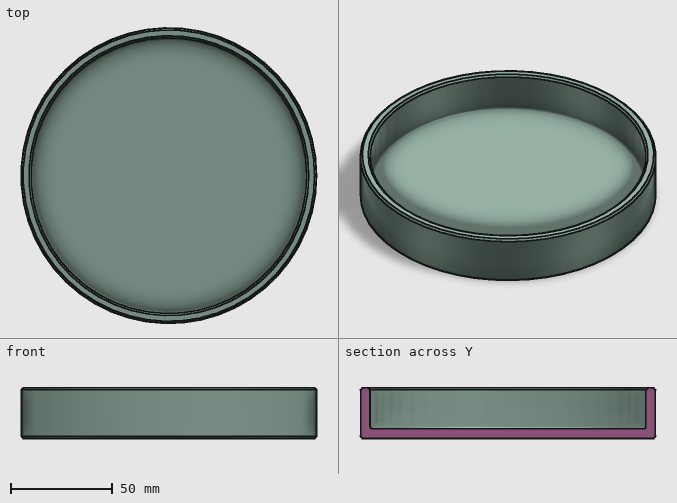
import cadquery as cq

outer_diameter = 145.0
height = 25.0
edge_chamfer = 1.0

cavity_diameter = 135.3
floor_thickness = 5.0
rim_chamfer = 1.0
floor_fillet = 1.0

body = cq.Workplane("XY").circle(outer_diameter / 2).extrude(height)
body = body.faces("<Z or >Z").edges().chamfer(edge_chamfer)

cavity_depth = height - floor_thickness
cavity = (
    cq.Workplane("XY")
    .workplane(offset=floor_thickness)
    .circle(cavity_diameter / 2)
    .extrude(cavity_depth)
    .faces("<Z")
    .edges()
    .fillet(floor_fillet)
)
dish = body.cut(cavity)

result = dish.faces(">Z").edges(cq.selectors.RadiusNthSelector(0)).chamfer(rim_chamfer)